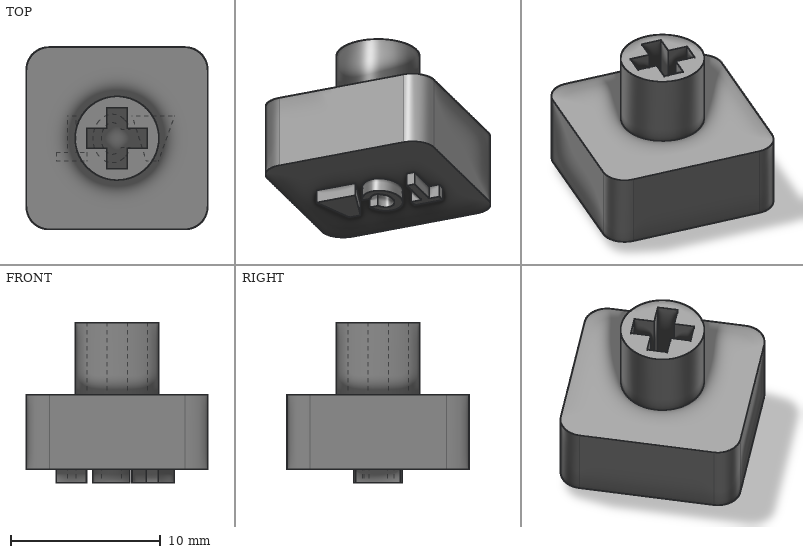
import cadquery as cq

base_width = 12.14
base_depth = 12.2
base_height = 5.0
corner_radius = 1.54

post_diameter = 5.6
post_height = 4.81
cross_span = 4.06
cross_arm_width = 1.37

relief_height = 0.89
character_height = 3.0
half_height = character_height / 2
stroke = 0.56

bar_left = -4.06
bar_width = 2.04

oval_center_x = -0.33
oval_radius_x = 1.29
oval_radius_y = 1.62
oval_opening = 1.22

wedge_left = 1.0
wedge_right = 3.83
wedge_top_left = 1.94
wedge_top_right = 2.76


def make_base():
    base = cq.Workplane("XY").box(base_width, base_depth, base_height, centered=(True, True, False))
    return base.edges("|Z").fillet(corner_radius)


def make_post():
    return cq.Workplane("XY").workplane(offset=base_height).circle(post_diameter / 2).extrude(post_height)


def make_socket():
    plane = cq.Workplane("XY").workplane(offset=base_height)
    arm_x = plane.rect(cross_span, cross_arm_width).extrude(post_height)
    arm_y = plane.rect(cross_arm_width, cross_span).extrude(post_height)
    return arm_x.union(arm_y)


def make_bar_character():
    center_x = bar_left + bar_width / 2
    bar_y = -half_height + stroke / 2
    bar = cq.Workplane("XY").center(center_x, bar_y).rect(bar_width, stroke).extrude(-relief_height)
    stem = cq.Workplane("XY").center(center_x, 0).rect(stroke, character_height).extrude(-relief_height)
    return bar.union(stem)


def make_oval_character():
    plane = cq.Workplane("XY").center(oval_center_x, 0)
    outer = plane.ellipse(oval_radius_x, oval_radius_y).extrude(-relief_height)
    inner = plane.ellipse(oval_radius_x - stroke, oval_radius_y - stroke).extrude(-relief_height)
    opening = plane.center(oval_radius_x / 2, 0).rect(oval_radius_x, oval_opening).extrude(-relief_height)
    return outer.cut(inner).cut(opening)


def make_wedge_character():
    outline = [
        (wedge_left, half_height),
        (wedge_top_left, -half_height),
        (wedge_top_right, -half_height),
        (wedge_right, half_height),
    ]
    return cq.Workplane("XY").polyline(outline).close().extrude(-relief_height)


result = make_base().union(make_post()).cut(make_socket())
for character in (make_bar_character(), make_oval_character(), make_wedge_character()):
    result = result.union(character)